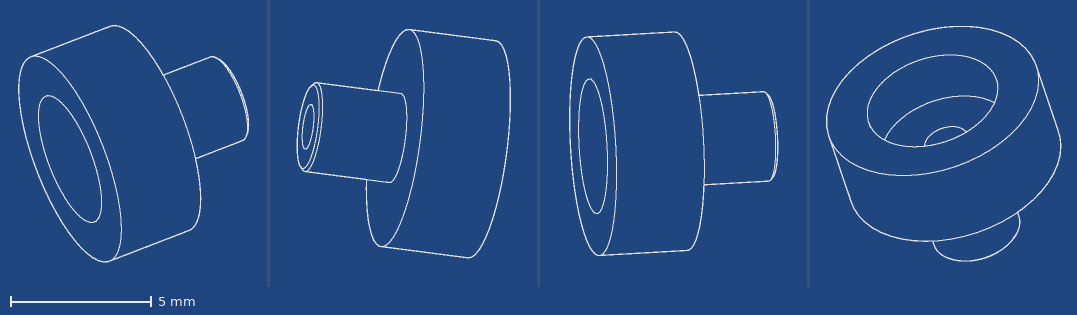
import cadquery as cq

head_diameter = 7.8
head_length = 3.2
total_length = 6.4
stem_diameter = 3.2
stem_chamfer = 0.1
recess_diameter = 4.8
recess_depth = 2.0
bore_diameter = 1.6


def cylinder(diameter, start_y, end_y):
    """Solid cylinder along +Y between two Y positions."""
    axis_plane = cq.Plane(origin=(0, start_y, 0), xDir=(1, 0, 0), normal=(0, 1, 0))
    return cq.Workplane(axis_plane).circle(diameter / 2).extrude(end_y - start_y)


head = cylinder(head_diameter, 0, head_length)

stem = cylinder(stem_diameter, head_length, total_length).faces(">Y").chamfer(stem_chamfer)

recess = cylinder(recess_diameter, 0, recess_depth)
bore = cylinder(bore_diameter, 0, total_length)

result = head.union(stem).cut(recess).cut(bore)